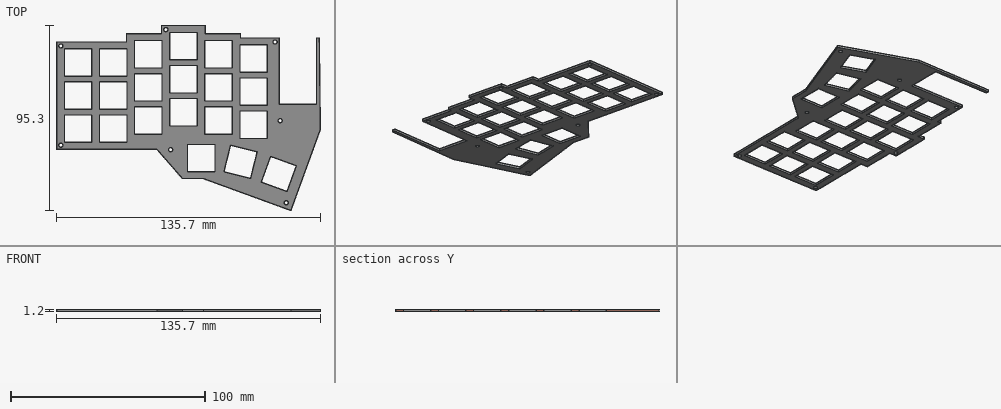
import cadquery as cq


plate_length = 135.7
plate_width = 95.3
plate_thickness = 1.2

small_stagger = 2.0
medium_stagger = 4.2
large_stagger = 8.4
column_stagger = [0, 0, medium_stagger, large_stagger, medium_stagger, small_stagger]

row_count = 3
grid_length = 108.3
grid_width = 51.0
column_pitch = grid_length / len(column_stagger)
row_pitch = grid_width / row_count
side_margin = 2.0
end_margin = 2.2
step_overlap = 2.3
switch_opening = 14.0

field_top = grid_width + 2 * end_margin
top_edge = field_top + large_stagger
medium_top = field_top + medium_stagger
inner_top = field_top + small_stagger
bottom_edge = top_edge - plate_width

bay_left = 114.5
bay_right = 133.5
bay_floor = 23.3
arm_tip_right = 135.2

thumb_slope_start = 51.5
thumb_flat_left = 64.7
thumb_flat_right = 75.5
thumb_flat_level = -15.0
thumb_corner_x = 120.5
right_edge_bottom = 10.3

thumb_keys = [
    (74.4, -4.5, 0),
    (94.6, -6.4, -14),
    (114.3, -12.6, -20),
]

screw_diameter = 2.0
screw_inset = 2.2
screw_centres = [
    (screw_inset, screw_inset),
    (screw_inset, field_top - screw_inset),
    (side_margin + 3 * column_pitch, top_edge - screw_inset),
    (bay_left - screw_inset, inner_top - screw_inset),
    (115.0, 14.8),
    (58.6, -0.1),
    (118.0, -27.4),
]


def column_boundary(index):
    """X of the left side of a key column, counted from zero."""
    return side_margin + index * column_pitch


def plate_blank():
    """Solid plate with the stepped top edge, controller bay and angled thumb area."""
    medium_left = column_boundary(2) - step_overlap
    large_left = column_boundary(3) - step_overlap
    large_right = column_boundary(4) + step_overlap
    medium_right = column_boundary(5) + step_overlap
    outline = [
        (0, 0),
        (0, field_top),
        (medium_left, field_top),
        (medium_left, medium_top),
        (large_left, medium_top),
        (large_left, top_edge),
        (large_right, top_edge),
        (large_right, medium_top),
        (medium_right, medium_top),
        (medium_right, inner_top),
        (bay_left, inner_top),
        (bay_left, bay_floor),
        (bay_right, bay_floor),
        (bay_right, inner_top),
        (arm_tip_right, inner_top),
        (plate_length, right_edge_bottom),
        (thumb_corner_x, bottom_edge),
        (thumb_flat_right, thumb_flat_level),
        (thumb_flat_left, thumb_flat_level),
        (thumb_slope_start, 0),
    ]
    return cq.Workplane("XY").polyline(outline).close().extrude(plate_thickness)


def switch_cutter(x, y, angle=0):
    """Square prism that cuts one switch opening through the plate."""
    cutter = cq.Workplane("XY").rect(switch_opening, switch_opening).extrude(plate_thickness)
    return cutter.rotate((0, 0, 0), (0, 0, 1), angle).translate((x, y, 0))


result = plate_blank()

for column, stagger in enumerate(column_stagger):
    key_x = column_boundary(column) + column_pitch / 2
    for row in range(row_count):
        key_y = end_margin + (row + 0.5) * row_pitch + stagger
        result = result.cut(switch_cutter(key_x, key_y))

for key_x, key_y, angle in thumb_keys:
    result = result.cut(switch_cutter(key_x, key_y, angle))

screw_cutters = (
    cq.Workplane("XY").pushPoints(screw_centres).circle(screw_diameter / 2).extrude(plate_thickness)
)
result = result.cut(screw_cutters)